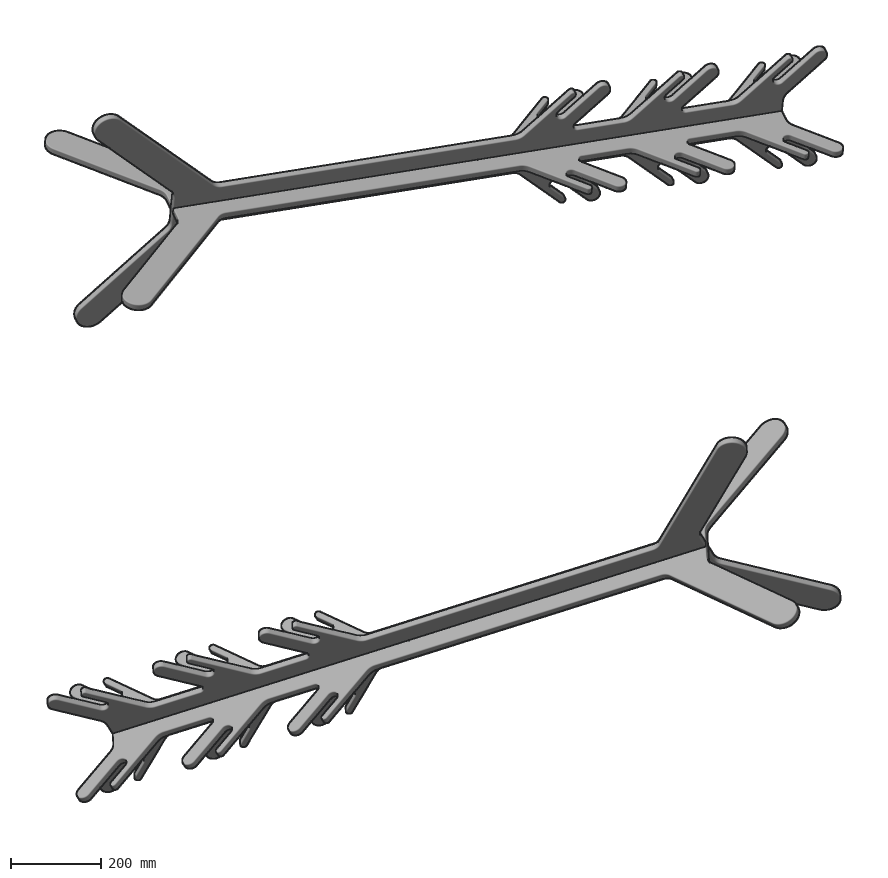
import cadquery as cq
import math

PLATE_THICKNESS = 17.0
STEM_WIDTH = 100.0
STEM_LENGTH = 1426.0

HOOK_ROWS = 3
HOOK_PITCH = 254.0
THICK_PRONG_WIDTH = 35.0
THICK_PRONG_LENGTH = 126.0
SLOT_WIDTH = 26.0
SLOT_START = 26.0
THIN_PRONG_WIDTH = 15.0
THIN_PRONG_LENGTH = 77.0

FOOT_WIDTH = 70.0
FOOT_SPAN = 609.0

ARM_ANGLE = 45
MITRE_FACTOR = math.sqrt(2)

NOTCH_RADIUS = 10.0
ROOT_RADIUS = 30.0
EDGE_ROUNDING = 2.6

ROLL_ANGLE = 2.1
PITCH_ANGLE = -3.85
YAW_ANGLE = -0.15

HALF_STEM = STEM_WIDTH / 2
HALF_LENGTH = STEM_LENGTH / 2
SLOT_FAR_EDGE = THICK_PRONG_WIDTH + SLOT_WIDTH
HOOK_WIDTH = SLOT_FAR_EDGE + THIN_PRONG_WIDTH
FOOT_TIP_RADIUS = FOOT_WIDTH / 2
FOOT_TIP_REACH = FOOT_SPAN / 2 - HALF_STEM - FOOT_TIP_RADIUS
FOOT_LENGTH = FOOT_TIP_REACH * MITRE_FACTOR - FOOT_TIP_RADIUS


def arm_root(outline, arm_width):
    """Close an arm outline along the stem edge, which lies at 45 degrees to the arm."""
    return outline.lineTo(-arm_width, -arm_width).close()


def hook_outline():
    """Hook along +X, with the upper edge of its thick prong starting at the origin."""
    outline = (
        cq.Workplane("XY")
        .lineTo(THICK_PRONG_LENGTH, 0)
        .threePointArc(
            (THICK_PRONG_LENGTH + THICK_PRONG_WIDTH / 2, -THICK_PRONG_WIDTH / 2),
            (THICK_PRONG_LENGTH, -THICK_PRONG_WIDTH),
        )
        .lineTo(SLOT_START, -THICK_PRONG_WIDTH)
        .threePointArc(
            (SLOT_START - SLOT_WIDTH / 2, -THICK_PRONG_WIDTH - SLOT_WIDTH / 2),
            (SLOT_START, -SLOT_FAR_EDGE),
        )
        .lineTo(THIN_PRONG_LENGTH, -SLOT_FAR_EDGE)
        .threePointArc(
            (THIN_PRONG_LENGTH + THIN_PRONG_WIDTH / 2, -SLOT_FAR_EDGE - THIN_PRONG_WIDTH / 2),
            (THIN_PRONG_LENGTH, -HOOK_WIDTH),
        )
    )
    return arm_root(outline, HOOK_WIDTH)


def foot_outline():
    """Round-ended foot along +X, with one edge starting at the origin."""
    outline = (
        cq.Workplane("XY")
        .lineTo(FOOT_LENGTH, 0)
        .threePointArc(
            (FOOT_LENGTH + FOOT_TIP_RADIUS, -FOOT_TIP_RADIUS),
            (FOOT_LENGTH, -FOOT_WIDTH),
        )
    )
    return arm_root(outline, FOOT_WIDTH)


def arm_on_stem(outline, height):
    """Extrude an arm and lean it upwards off the right edge of the stem at the given height."""
    return (
        outline.extrude(PLATE_THICKNESS / 2, both=True)
        .rotate((0, 0, 0), (0, 0, 1), ARM_ANGLE)
        .translate((HALF_STEM, height, 0))
    )


def round_corners(body, heights, radius):
    """Fillet the corners on both stem edges at the given heights."""
    for height in heights:
        for side in (-HALF_STEM, HALF_STEM):
            corner = cq.selectors.NearestToPointSelector((side, height, 0))
            body = body.edges(corner).fillet(radius)
    return body


def plate():
    """Whole plate in the XY plane: stem along Y, hooks at the +Y end, feet at the -Y end."""
    hook_heights = [HALF_LENGTH - row * HOOK_PITCH for row in range(HOOK_ROWS)]
    arms = [arm_on_stem(hook_outline(), height) for height in hook_heights]
    arms.append(arm_on_stem(foot_outline(), HALF_LENGTH).mirror("XZ"))

    body = cq.Workplane("XY").box(STEM_WIDTH, STEM_LENGTH, PLATE_THICKNESS)
    for arm in arms:
        body = body.union(arm).union(arm.mirror("YZ"))

    open_corner_heights = [height - HOOK_WIDTH * MITRE_FACTOR for height in hook_heights]
    open_corner_heights += [HALF_LENGTH, -HALF_LENGTH, FOOT_WIDTH * MITRE_FACTOR - HALF_LENGTH]
    body = round_corners(body, hook_heights[1:], NOTCH_RADIUS)
    body = round_corners(body, open_corner_heights, ROOT_RADIUS)

    return body.faces("|Z").edges().fillet(EDGE_ROUNDING)


def lap_slot(end):
    """Slot through the stem centre of a plate, from mid-length out past the given end (+1 or -1)."""
    return cq.Workplane("XY").box(PLATE_THICKNESS, HALF_LENGTH, PLATE_THICKNESS).translate(
        (0, end * HALF_LENGTH / 2, 0)
    )


def set_in_place(body):
    """Roll the body about the stem axis, tip its hook end down and turn it slightly about Z."""
    rolled = body.rotate((0, 0, 0), (0, 1, 0), ROLL_ANGLE)
    tipped = rolled.rotate((0, 0, 0), (1, 0, 0), PITCH_ANGLE)
    return tipped.rotate((0, 0, 0), (0, 0, 1), YAW_ANGLE)


flat_plate = set_in_place(plate().cut(lap_slot(-1)))

upright_plate = set_in_place(plate().cut(lap_slot(1)).rotate((0, 0, 0), (0, 1, 0), 90))

result = cq.Compound.makeCompound([flat_plate.val(), upright_plate.val()])